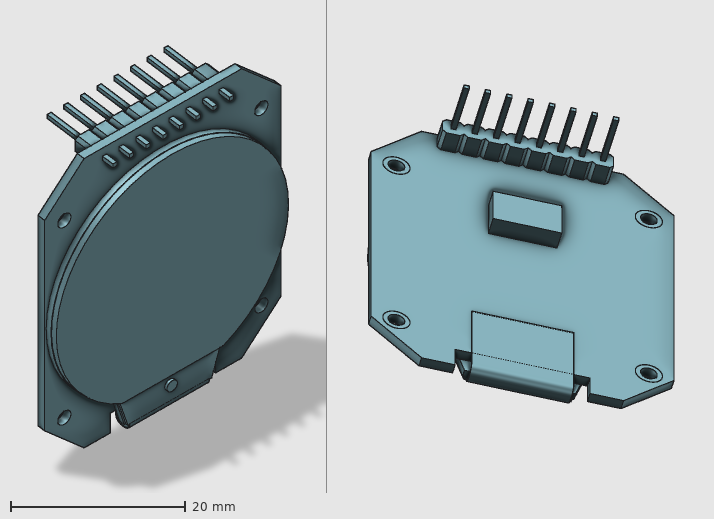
import cadquery as cq
import math


board_width = 36.0
board_thickness = 1.2
board_top = 22.7
board_bottom = -21.3
corner_cut = 6.0
notch_width = 16.0
notch_height = 3.0

hole_spacing = 30.0
hole_diameter = 2.0
pad_diameter = 3.2
pad_height = 0.02

pin_count = 8
pin_row_length = 17.77
pin_pitch = pin_row_length / (pin_count - 1)
pin_size = 0.6
pin_back_reach = 6.0
pin_front_reach = 1.8
header_depth = 2.5
header_chamfer = 0.45
header_inset = 1.55
header_z = board_top - header_inset

chip_depth = 2.2
chip_width = 8.15
chip_height = 5.3
chip_inset = 11.8
chip_top = board_top - chip_inset

rear_disc_diameter = 35.55
front_disc_diameter = 35.35
disc_thickness = 0.85
display_flat_z = -15.9
ledge_bottom_z = -20.3
rear_ledge_bottom_width = 13.2
front_ledge_bottom_width = 12.75
front_ledge_thickness = 0.4

button_diameter = 1.6
button_height = 0.4
button_z = -17.65

cable_width = 12.13
cable_thickness = 0.15
cable_back_top = -10.3
cable_drop = 0.1
cable_bend_radius = 1.1
cable_front_overlap = 0.45

joint_overlap = 0.1

rear_disc_x = board_thickness
front_disc_x = rear_disc_x + disc_thickness
ledge_front_x = front_disc_x + front_ledge_thickness


def plane_at(x):
    """Sketch plane facing +X, with local axes along Y and Z."""
    return cq.Workplane("YZ", origin=(x, 0, 0))


def block(x_start, x_end, width, z_bottom, z_top, y_center=0):
    """Rectangular block centred on y_center."""
    return (
        plane_at(x_start)
        .center(y_center, (z_bottom + z_top) / 2)
        .rect(width, z_top - z_bottom)
        .extrude(x_end - x_start)
    )


def make_board():
    blank = block(0, board_thickness, board_width, board_bottom, board_top)
    blank = blank.edges("|X").chamfer(corner_cut)
    notch = block(0, board_thickness, notch_width, board_bottom, board_bottom + notch_height)
    return blank.cut(notch)


def mounting_circles(x_start, x_end, diameter):
    """One cylinder at each mounting hole position."""
    centers = plane_at(x_start).rarray(hole_spacing, hole_spacing, 2, 2)
    return centers.circle(diameter / 2).extrude(x_end - x_start)


def make_header():
    header = cq.Workplane()
    half_height = pin_pitch / 2
    for index in range(pin_count):
        y = pin_row_length / 2 - index * pin_pitch
        lobe = block(
            -header_depth,
            joint_overlap,
            pin_pitch,
            header_z - half_height,
            header_z + half_height,
            y,
        )
        lobe = lobe.edges("|X").chamfer(header_chamfer)
        pin = block(
            -header_depth - pin_back_reach,
            board_thickness + pin_front_reach,
            pin_size,
            header_z - pin_size / 2,
            header_z + pin_size / 2,
            y,
        )
        header = header.add(lobe).add(pin)
    return header.combine()


def make_display_disc(x, diameter):
    disc = plane_at(x).circle(diameter / 2).extrude(disc_thickness)
    below_flat = block(x, x + disc_thickness, diameter, -diameter, display_flat_z)
    return disc.cut(below_flat)


def make_ledge(x, thickness, disc_diameter, bottom_width):
    """Tapered plate that is as wide at its top as the flat of the disc above it."""
    half_top = math.sqrt((disc_diameter / 2) ** 2 - display_flat_z**2)
    half_bottom = bottom_width / 2
    return (
        plane_at(x)
        .moveTo(-half_top, display_flat_z)
        .lineTo(half_top, display_flat_z)
        .lineTo(half_bottom, ledge_bottom_z)
        .lineTo(-half_bottom, ledge_bottom_z)
        .close()
        .extrude(thickness)
    )


def make_cable():
    """J-shaped strip: long leg on the back of the board, short leg in the ledge."""
    back_x = -cable_thickness
    bottom_z = board_bottom - cable_drop
    front_top = ledge_bottom_z + cable_front_overlap
    outside = block(back_x, ledge_front_x, cable_width, bottom_z, cable_back_top)
    outside = outside.edges("|Y and <Z").fillet(cable_bend_radius)
    inside = block(0, ledge_front_x - cable_thickness, cable_width, bottom_z + cable_thickness, cable_back_top)
    inside = inside.edges("|Y and <Z").fillet(cable_bend_radius - cable_thickness)
    above_front_leg = block(0, ledge_front_x, cable_width, front_top, cable_back_top)
    return outside.cut(inside).cut(above_front_leg)


board = make_board()
pads = mounting_circles(-pad_height, joint_overlap, pad_diameter)
chip = block(-chip_depth, joint_overlap, chip_width, chip_top - chip_height, chip_top)
rear_disc = make_display_disc(rear_disc_x, rear_disc_diameter)
front_disc = make_display_disc(front_disc_x, front_disc_diameter)
rear_ledge = make_ledge(rear_disc_x, disc_thickness, rear_disc_diameter, rear_ledge_bottom_width)
front_ledge = make_ledge(front_disc_x, front_ledge_thickness, front_disc_diameter, front_ledge_bottom_width)
button = plane_at(ledge_front_x).center(0, button_z).circle(button_diameter / 2).extrude(button_height)
attached_parts = [
    pads,
    chip,
    rear_disc,
    front_disc,
    rear_ledge,
    front_ledge,
    button,
    make_header(),
    make_cable(),
]

body = board
for part in attached_parts:
    body = body.union(part)
holes = mounting_circles(-pad_height, board_thickness, hole_diameter)
result = body.cut(holes)